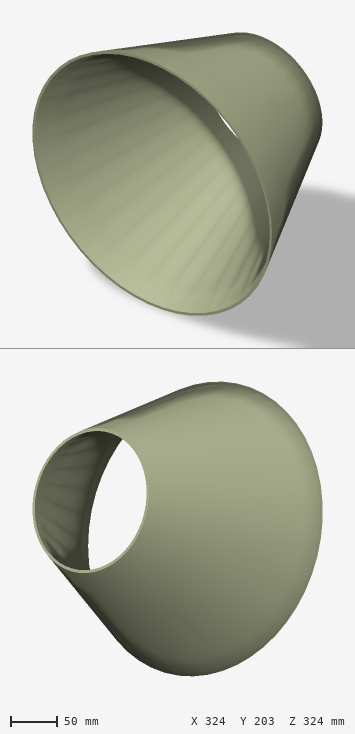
import cadquery as cq

large_outer_radius = 162.0
small_outer_radius = 79.7
length = 203.0
radial_wall = 3.2

front_y = -length / 2
back_y = length / 2
wall_section = (
    cq.Workplane("XY")
    .moveTo(large_outer_radius - radial_wall, front_y)
    .lineTo(large_outer_radius, front_y)
    .lineTo(small_outer_radius, back_y)
    .lineTo(small_outer_radius - radial_wall, back_y)
    .close()
)

result = wall_section.revolve(360, (0, 0, 0), (0, 1, 0))